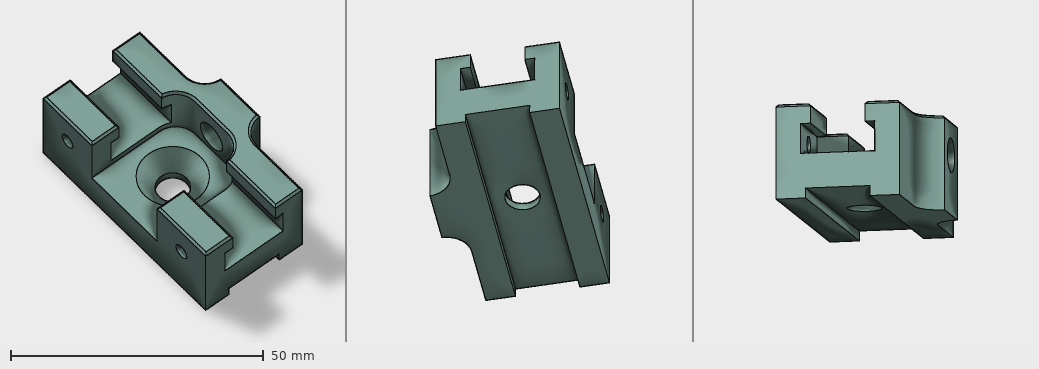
import cadquery as cq

LENGTH = 50.0
HEIGHT = 19.0
BODY_DEPTH = 25.0
MID_X = LENGTH / 2
MID_Y = BODY_DEPTH / 2
TOP_CHAMFER = 0.5

NECK_WIDTH = 12.0
NECK_RADIUS = 5.0
TOTAL_DEPTH = BODY_DEPTH + NECK_RADIUS

SLOT_FLOOR = 9.0
LIP_BOTTOM = 15.0
SLOT_WIDTH = 15.0
SLOT_MOUTH = 11.0

GROOVE_WIDTH = 13.0
GROOVE_DEPTH = 2.0

POCKET_WIDTH = 20.0
POCKET_BACK = 22.5
POCKET_FLOOR = 7.5
POCKET_RADIUS = 5.0

MOUNT_HOLE_DIAMETER = 7.0
COUNTERSINK_DIAMETER = 14.5
COUNTERSINK_ANGLE = 90.0
CROSS_HOLE_Z = 12.0
NECK_HOLE_DIAMETER = 6.8
SCREW_HOLE_DIAMETER = 3.3
SCREW_HOLE_INSET = 7.5


def block(x_range, y_range, z_range):
    """Box spanning the given (start, end) pairs."""
    spans = (x_range, y_range, z_range)
    size = [end - start for start, end in spans]
    corner = tuple(start for start, end in spans)
    return cq.Workplane("XY").box(*size, centered=False).translate(corner)


def lengthwise_channel(width, bottom, top):
    """Full-length channel centred across the main body."""
    return block((0, LENGTH), (MID_Y - width / 2, MID_Y + width / 2), (bottom, top))


def cross_hole(x, diameter, depth):
    """Hole running along +Y from the front face."""
    axis = cq.Vector(0, 1, 0)
    start = cq.Vector(x, 0, CROSS_HOLE_Z)
    return cq.Workplane(cq.Solid.makeCylinder(diameter / 2, depth, start, axis))


def make_body():
    """Main block with the neck at the back."""
    neck_left = MID_X - NECK_WIDTH / 2
    neck_right = MID_X + NECK_WIDTH / 2
    return (
        cq.Workplane("XY")
        .lineTo(LENGTH, 0)
        .lineTo(LENGTH, BODY_DEPTH)
        .lineTo(neck_right + NECK_RADIUS, BODY_DEPTH)
        .radiusArc((neck_right, TOTAL_DEPTH), NECK_RADIUS)
        .lineTo(neck_left, TOTAL_DEPTH)
        .radiusArc((neck_left - NECK_RADIUS, BODY_DEPTH), NECK_RADIUS)
        .lineTo(0, BODY_DEPTH)
        .close()
        .extrude(HEIGHT)
    )


def make_pocket():
    """Front pocket with rounded back corners."""
    half_width = POCKET_WIDTH / 2
    pocket = block((MID_X - half_width, MID_X + half_width), (0, POCKET_BACK), (POCKET_FLOOR, HEIGHT))
    return pocket.edges("|Z and >Y").fillet(POCKET_RADIUS)


result = make_body()
result = result.cut(make_pocket())
result = result.cut(lengthwise_channel(SLOT_MOUTH, SLOT_FLOOR, HEIGHT))
result = result.faces(">Z").edges().chamfer(TOP_CHAMFER)

result = result.cut(lengthwise_channel(SLOT_WIDTH, SLOT_FLOOR, LIP_BOTTOM))
result = result.cut(lengthwise_channel(GROOVE_WIDTH, 0, GROOVE_DEPTH))

result = (
    result.copyWorkplane(cq.Workplane("XY", origin=(MID_X, MID_Y, POCKET_FLOOR)))
    .cskHole(MOUNT_HOLE_DIAMETER, COUNTERSINK_DIAMETER, COUNTERSINK_ANGLE)
)

result = result.cut(cross_hole(MID_X, NECK_HOLE_DIAMETER, TOTAL_DEPTH))
for screw_x in (SCREW_HOLE_INSET, LENGTH - SCREW_HOLE_INSET):
    result = result.cut(cross_hole(screw_x, SCREW_HOLE_DIAMETER, MID_Y))